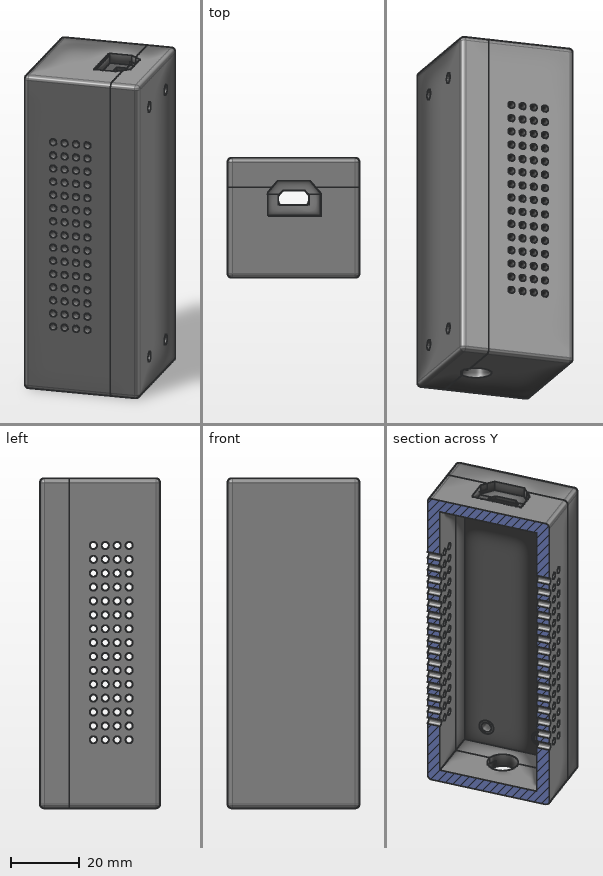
import cadquery as cq

WIDTH = 38.5
DEPTH = 35.0
HEIGHT = 96.2
EDGE_RADIUS = 1.3
WALL = 4.0

JOINT_Y = 8.9
LIP_DEPTH = 2.1
LIP_THICKNESS = WALL / 2
LIP_END_Y = JOINT_Y - LIP_DEPTH

PLUG_X = 0.1
RECESS_DEPTH = 3.0
RECESS_WIDTH = 15.3
RECESS_BACK_WIDTH = 9.4
RECESS_FRONT_Y = 0.8
RECESS_SHOULDER_Y = 7.3
RECESS_BACK_Y = 10.8
RIM_STEP = 0.3
RIM_DEPTH = 0.5
SOCKET_WIDTH = 9.0
SOCKET_BACK_WIDTH = 6.3
SOCKET_FRONT_Y = 3.75
SOCKET_SHOULDER_Y = 6.3
SOCKET_BACK_Y = 7.9

CABLE_HOLE_DIAMETER = 9.0
CABLE_HOLE_Y = 5.9

VENT_DIAMETER = 2.0
VENT_COLUMNS = 4
VENT_ROWS = 15
VENT_COLUMN_PITCH = 3.5
VENT_ROW_PITCH = 4.0
VENT_CENTER_Y = -3.3
VENT_CENTER_Z = 0.2

SCREW_HOLE_DIAMETER = 3.1
SCREW_PAD_DIAMETER = 4.5
SCREW_PAD_HEIGHT = 0.1
SCREW_X = 8.3
SCREW_Z = 38.3

INNER_BACK_Y = DEPTH / 2 - WALL


def block(width, height, front_y, back_y):
    """Block centred on X and Z, from front_y to back_y along Y."""
    return cq.Workplane("XY").box(width, back_y - front_y, height).translate((0, (front_y + back_y) / 2, 0))


def rounded_case():
    """Hollow case with every outer edge rounded."""
    outer = block(WIDTH, HEIGHT, -DEPTH / 2, DEPTH / 2).edges().fillet(EDGE_RADIUS)
    cavity = block(WIDTH - 2 * WALL, HEIGHT - 2 * WALL, -DEPTH / 2 + WALL, INNER_BACK_Y)
    return outer.cut(cavity)


def plug_prism(width, back_width, front_y, shoulder_y, back_y, depth):
    """Plug outline with two bevelled corners, sunk by depth from the top end."""
    outline = [
        (-width / 2, front_y),
        (width / 2, front_y),
        (width / 2, shoulder_y),
        (back_width / 2, back_y),
        (-back_width / 2, back_y),
        (-width / 2, shoulder_y),
    ]
    return cq.Workplane("XY", origin=(PLUG_X, 0, HEIGHT / 2)).polyline(outline).close().extrude(-depth)


def recess_prism(depth):
    return plug_prism(RECESS_WIDTH, RECESS_BACK_WIDTH, RECESS_FRONT_Y, RECESS_SHOULDER_Y, RECESS_BACK_Y, depth)


def plug_cut():
    """Plug recess with the socket opening through its floor."""
    socket = plug_prism(SOCKET_WIDTH, SOCKET_BACK_WIDTH, SOCKET_FRONT_Y, SOCKET_SHOULDER_Y, SOCKET_BACK_Y, WALL)
    return recess_prism(RECESS_DEPTH).union(socket)


def rim_cut():
    """Shallow step along the +X and -Y sides of the recess mouth."""
    return recess_prism(RIM_DEPTH).translate((RIM_STEP, -RIM_STEP, 0))


def cable_hole_cut():
    bottom = cq.Workplane("XY", origin=(0, CABLE_HOLE_Y, -HEIGHT / 2))
    return bottom.circle(CABLE_HOLE_DIAMETER / 2).extrude(WALL)


def vent_cut():
    """Grid of holes that crosses both side walls."""
    grid = cq.Workplane("YZ", origin=(0, VENT_CENTER_Y, VENT_CENTER_Z))
    grid = grid.rarray(VENT_COLUMN_PITCH, VENT_ROW_PITCH, VENT_COLUMNS, VENT_ROWS)
    return grid.circle(VENT_DIAMETER / 2).extrude(WIDTH / 2, both=True)


def lid_zone():
    """Space of the lid: all beyond the joint, plus the lip inside the housing rim."""
    beyond_joint = block(WIDTH, HEIGHT, JOINT_Y, DEPTH / 2)
    lip_inset = 2 * (WALL - LIP_THICKNESS)
    lip = block(WIDTH - lip_inset, HEIGHT - lip_inset, LIP_END_Y, JOINT_Y)
    return beyond_joint.union(lip)


def screw_cylinders(diameter, front_y, back_y):
    """Four cylinders at the screw places, from front_y to back_y."""
    plane = cq.Workplane("XZ", origin=(0, front_y, 0))
    return plane.rarray(2 * SCREW_X, 2 * SCREW_Z, 2, 2).circle(diameter / 2).extrude(front_y - back_y)


def make_housing(shell):
    return shell.cut(lid_zone()).cut(vent_cut()).cut(rim_cut())


def make_lid(shell):
    lid = shell.intersect(lid_zone())
    pad_face_y = INNER_BACK_Y - SCREW_PAD_HEIGHT
    pads = screw_cylinders(SCREW_PAD_DIAMETER, pad_face_y, INNER_BACK_Y)
    holes = screw_cylinders(SCREW_HOLE_DIAMETER, pad_face_y, DEPTH / 2)
    return lid.union(pads).cut(holes)


shell = rounded_case().cut(plug_cut()).cut(cable_hole_cut())
housing = make_housing(shell)
lid = make_lid(shell)

result = cq.Compound.makeCompound([housing.val(), lid.val()])